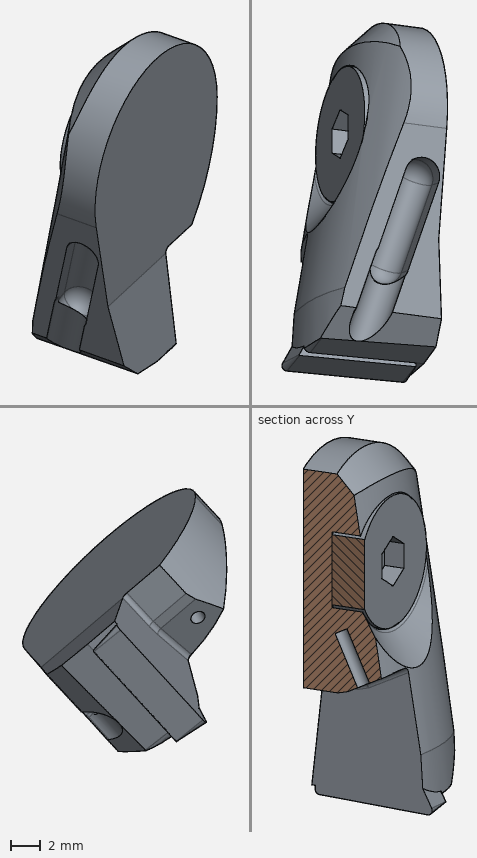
import cadquery as cq
import math


height = 24.8
disc_diameter = 15.6
disc_radius = disc_diameter / 2
tip_bottom_z = disc_radius - height
far = 29.75

flank_angle = 11.4
flank_bottom_z = -14.24
shoulder_radius = 13.0
shoulder_end_z = -9.92
shank_side_y = 1.25

front_radius = 12.5
front_tilt = 9.6
crown_radius = 10.5
crown_tilt = 45.0
crown_edge_x = -4.5
crown_edge_z = 5.95
nose_tilt = 3.7
nose_edge_z = -12.85

back_bend_z = -8.95
back_tilt = 6.6

underside_z = -16.15
underside_tilt = 1.9
underside_relief = 9.2
nose_front_x = -7.89
nose_corner_radius = 0.5

tip_thickness = 2.43
tip_relief = 7.3
tip_corner_radius = 0.35
tip_front_x = -8.73
tip_rounding_loss = 0.02
tip_front_z = tip_bottom_z - tip_rounding_loss
tip_lead_angle = 28.0
tip_back_x = 0.57
tip_root_z = -14.38

step_front_x = -6.55
step_front_z = -6.87
step_bend_z = -8.38
step_bottom_z = -8.58
step_slope = 26.0
step_lower_slope = 14.5
step_fillet = 0.37
coolant_hole_diameter = 1.0
coolant_hole_y = 3.87
coolant_hole_z = -7.79
coolant_hole_depth = 3.97

screw_diameter = 9.2
screw_face_x = -4.75
screw_height = 2.5
hex_across_flats = 3.0
hex_depth = 1.5
pocket_diameter = 9.37
relief_cone_radius = 4.85
relief_cone_x = -4.8
relief_cone_tilt = 40.0
relief_lip_tilt = 52.0

groove_diameter = 2.5
groove_top_x = -1.51
groove_top_z = -4.65
groove_step_x = -3.25
groove_step_z = -10.75
deep_axis_depth = 1.3
shallow_axis_depth = 0.1


def tan(angle):
    return math.tan(math.radians(angle))


def sin(angle):
    return math.sin(math.radians(angle))


def cos(angle):
    return math.cos(math.radians(angle))


def prism_xz(points, y_start, y_end):
    """Polygon of (x, z) points extruded from y_start to y_end."""
    plane = cq.Plane(origin=(0, y_start, 0), xDir=(1, 0, 0), normal=(0, -1, 0))
    return cq.Workplane(plane).polyline(points).close().extrude(y_start - y_end)


def flank_y(z):
    """Y of the straight flank, tangent to the disc, at height z."""
    return -disc_radius / cos(flank_angle) - z * tan(flank_angle)


def outline_blank():
    """Disc, tapering shank and shoulder, extruded along X."""
    tangent = (-disc_radius * cos(flank_angle), -disc_radius * sin(flank_angle))
    flank_end = (flank_y(flank_bottom_z), flank_bottom_z)
    corner_reach = shank_side_y - flank_end[0]

    def shoulder(z):
        return disc_radius - shoulder_radius + math.sqrt(shoulder_radius**2 - z**2)

    return (
        cq.Workplane("YZ")
        .moveTo(*tangent)
        .lineTo(*flank_end)
        .lineTo(shank_side_y, flank_bottom_z - corner_reach)
        .lineTo(shank_side_y, shoulder_end_z)
        .lineTo(shoulder(shoulder_end_z), shoulder_end_z)
        .threePointArc((shoulder(shoulder_end_z / 2), shoulder_end_z / 2), (disc_radius, 0))
        .threePointArc((0, disc_radius), tangent)
        .close()
        .extrude(far, both=True)
    )


def dome(radius, tilt, crest_x, crest_z):
    """Endless arched solid whose crest line passes through a point and leans towards -X going down."""
    axis = (sin(tilt), 0, cos(tilt))
    inward = (cos(tilt), 0, -sin(tilt))
    plane = cq.Plane(origin=(crest_x, 0, crest_z), xDir=inward, normal=axis)
    return (
        cq.Workplane(plane)
        .moveTo(radius, -radius)
        .threePointArc((0, 0), (radius, radius))
        .lineTo(far, radius)
        .lineTo(far, -radius)
        .close()
        .extrude(far, both=True)
    )


def trim_front(body):
    nose_edge_x = crown_edge_x - (crown_edge_z - nose_edge_z) * tan(front_tilt)
    front = dome(front_radius, front_tilt, crown_edge_x, crown_edge_z)
    crown = dome(crown_radius, crown_tilt, crown_edge_x, crown_edge_z)
    nose = dome(front_radius, nose_tilt, nose_edge_x, nose_edge_z)
    return body.intersect(front).intersect(crown).intersect(nose)


def trim_back(body):
    """Flat back that bends towards +X along the shank."""
    low_x = (back_bend_z + far) * tan(back_tilt)
    waste = [(0, far), (0, back_bend_z), (low_x, -far), (far, -far), (far, far)]
    return body.cut(prism_xz(waste, -far, far))


def trim_underside(body):
    """Sloping underside with a rounded front corner, relieved upwards from the tip towards -Y."""
    tip_side_y = shank_side_y - tip_thickness

    def underside(x):
        return underside_z + x * tan(underside_tilt)

    front_z = underside(nose_front_x)
    keep = [(nose_front_x, front_z), (far, underside(far)), (far, far), (nose_front_x, far)]
    level = prism_xz(keep, far, tip_side_y)
    corner = cq.selectors.NearestToPointSelector((nose_front_x, (far + tip_side_y) / 2, front_z))
    level = level.edges("|Y").edges(corner).fillet(nose_corner_radius)
    profile = level.faces("<Y").wires().val()
    reach = cq.Vector(0, -far, far * tan(underside_relief))
    rising = cq.Workplane(cq.Solid.extrudeLinear(profile, [], reach))
    return body.intersect(level.union(rising))


def cut_step(body):
    """Sloping step on the +Y side of the shank, with a rounded inner corner and a coolant hole."""
    bend_x = step_front_x + (step_front_z - step_bend_z) / tan(step_slope)
    foot_x = bend_x + (step_bend_z - step_bottom_z) / tan(step_lower_slope)
    ahead_z = step_front_z + (step_front_x + far) * tan(step_slope)
    waste = [
        (-far, ahead_z),
        (bend_x, step_bend_z),
        (foot_x, step_bottom_z),
        (far, step_bottom_z),
        (far, -far),
        (-far, -far),
    ]
    tool = prism_xz(waste, far, shank_side_y)
    inner_corner = cq.selectors.BoxSelector(
        (0.25 - far, shank_side_y - 0.25, -far / 2), (far - 0.25, shank_side_y + 0.25, far)
    )
    tool = tool.edges(inner_corner).fillet(step_fillet)
    hole_x = step_front_x + (step_front_z - coolant_hole_z) / tan(step_slope)
    hole = cq.Workplane(
        cq.Solid.makeCylinder(
            coolant_hole_diameter / 2,
            coolant_hole_depth,
            cq.Vector(hole_x, coolant_hole_y, coolant_hole_z),
            cq.Vector(sin(step_slope), 0, cos(step_slope)),
        )
    )
    return body.cut(tool).cut(hole)


def cut_pocket(body):
    """Counterbore for the screw, with a conical relief below it as wide as the counterbore."""
    radius = pocket_diameter / 2
    seat_x = screw_face_x + screw_height
    bore = cq.Workplane("YZ", origin=(seat_x, 0, 0)).circle(radius).extrude(-far)
    outer_x = relief_cone_x - radius * tan(relief_cone_tilt)
    lip_x = relief_cone_x + (relief_cone_radius - radius) * tan(relief_lip_tilt)
    cone = (
        cq.Workplane("XY")
        .moveTo(lip_x, 0)
        .lineTo(lip_x, radius)
        .lineTo(relief_cone_x, relief_cone_radius)
        .lineTo(outer_x, relief_cone_radius + radius)
        .lineTo(outer_x, 0)
        .close()
        .revolve(360, (0, 0, 0), (1, 0, 0))
    )
    lower_strip = cq.Workplane("XY").rect(2 * far, pocket_diameter).extrude(-far)
    return body.cut(bore).cut(cone.intersect(lower_strip))


def groove_run(top_x, top_z, bottom_x, bottom_z, axis_depth):
    """Round-bottomed slot with ball ends, parallel to the flank and open through it."""
    radius = groove_diameter / 2
    outward = cq.Vector(0, -cos(flank_angle), -sin(flank_angle))
    sink = axis_depth / cos(flank_angle)
    top = cq.Vector(top_x, flank_y(top_z) + sink, top_z)
    bottom = cq.Vector(bottom_x, flank_y(bottom_z) + sink, bottom_z)
    run = bottom - top
    plane = cq.Plane(origin=(top + bottom).multiply(0.5), xDir=run, normal=outward)
    slot = cq.Workplane(plane).slot2D(run.Length + groove_diameter, groove_diameter).extrude(groove_diameter)
    barrel = cq.Workplane(cq.Solid.makeCylinder(radius, run.Length, top, run))
    slot = slot.union(barrel)
    for end in (top, bottom):
        slot = slot.union(cq.Workplane("XY").sphere(radius).translate(end))
    return slot


def cut_groove(body):
    """Deep groove on the flank that steps up to a shallow one running out through the corner."""
    lean = (groove_step_x - groove_top_x) / (groove_step_z - groove_top_z)
    exit_z = tip_bottom_z - groove_diameter
    exit_x = groove_step_x + (exit_z - groove_step_z) * lean
    deep = groove_run(groove_top_x, groove_top_z, groove_step_x, groove_step_z, deep_axis_depth)
    shallow = groove_run(groove_step_x, groove_step_z, exit_x, exit_z, shallow_axis_depth)
    return body.cut(deep).cut(shallow)


def cutting_tip():
    """Blade along the underside; all its edges are relieved from the rake face towards -Y."""
    root_x = tip_front_x + (tip_root_z - tip_front_z) * tan(tip_lead_angle)
    front_corner = (tip_front_x, tip_front_z)
    back_corner = (tip_back_x, tip_front_z + (tip_back_x - tip_front_x) * tan(underside_tilt))
    profile = [front_corner, back_corner, (tip_back_x, tip_root_z), (root_x, tip_root_z), front_corner]
    lower_corners = "<Y or <<Y[1]"
    rounded = cq.Sketch().polygon(profile).vertices(lower_corners).fillet(tip_corner_radius)
    plane = cq.Plane(origin=(0, shank_side_y, 0), xDir=(1, 0, 0), normal=(0, -1, 0))
    return cq.Workplane(plane).placeSketch(rounded).extrude(tip_thickness, taper=tip_relief)


def make_head():
    body = trim_back(trim_front(outline_blank()))
    body = trim_underside(body)
    body = cut_groove(cut_pocket(cut_step(body)))
    return body.union(cutting_tip())


def make_screw():
    """Flat screw head with a hexagon socket."""
    head = cq.Workplane("YZ", origin=(screw_face_x, 0, 0)).circle(screw_diameter / 2).extrude(screw_height)
    across_corners = hex_across_flats / cos(30)
    socket = (
        cq.Workplane("YZ", origin=(screw_face_x, 0, 0))
        .transformed(rotate=(0, 0, 90))
        .polygon(6, across_corners)
        .extrude(hex_depth)
    )
    return head.cut(socket)


head = make_head()
screw = make_screw()
result = cq.Compound.makeCompound([head.val(), screw.val()])